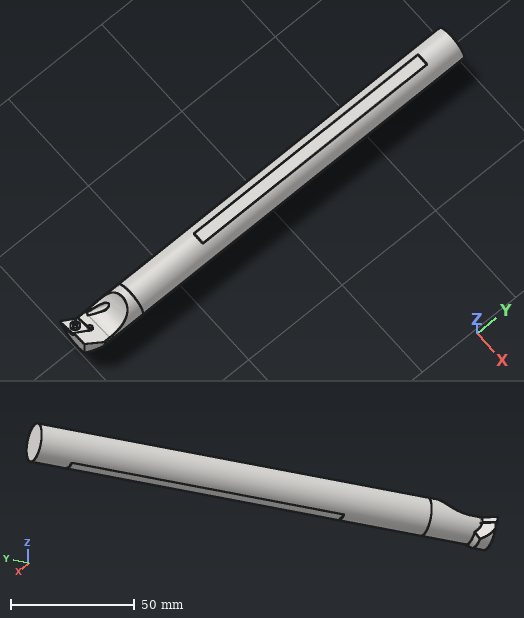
import cadquery as cq
import math

bar_length = 200.0
bar_diameter = 16.0
bar_radius = bar_diameter / 2
joint_y = 28.0
flat_start_y = 64.5
flat_length = 120.0
flat_width = 5.5
flat_height = math.sqrt(bar_radius**2 - (flat_width / 2) ** 2)

nose_front_y = 0.8
nose_back_y = 6.0
nose_blend_y = 8.0
nose_radius = 9.2
nose_x = -2.0
nose_z = -0.8
flank_inset = 0.2
corner_bevel_x = 3.0
corner_bevel_y = 8.0
bevel_side_x = 8.2

tip_x = -11.5
rake_angle = 6.0
scoop_start_y = 10.5
scoop_radius = 17.5
clear_size = 40.0
front_margin = 2.0

coolant_diameter = 3.0
coolant_exit = (-6.5, 10.5, 1.8)
coolant_direction = (0.38, 1.0, 0.0)
coolant_length = 18.0

insert_angle = 55.0
insert_lead_angle = 3.0
insert_circle = 6.5
insert_thickness = 2.5
insert_corner_radius = 0.5
insert_clearance = 7.0
insert_hole_diameter = 2.8
relief_diameter = 2.5
relief_x = -1.0
relief_y = 7.2

screw_head_diameter = 4.0
screw_stem_diameter = 2.5
screw_length = 7.0
screw_cone_depth = 1.2
socket_size = 2.0
socket_depth = 1.0

half_angle = math.radians(insert_angle / 2)
insert_side = insert_circle / math.sin(math.radians(insert_angle))
half_long = insert_side * math.cos(half_angle)
half_short = insert_side * math.sin(half_angle)
axis_angle = insert_lead_angle + insert_angle / 2
center_distance = half_long - insert_corner_radius / math.sin(half_angle)
insert_x = tip_x + insert_corner_radius + center_distance * math.cos(math.radians(axis_angle))
insert_y = insert_corner_radius + center_distance * math.sin(math.radians(axis_angle))


def tilt(shape):
    """Lean a shape about the Y line through the tip, so that +X rises."""
    return shape.rotate((tip_x, 0, 0), (tip_x, 1, 0), -rake_angle)


def bar(start_y, end_y):
    section = cq.Workplane("XZ", origin=(0, end_y, 0)).circle(bar_radius)
    return section.extrude(end_y - start_y)


def make_shank():
    shank = bar(joint_y, bar_length)
    for side in (1, -1):
        block = cq.Workplane("XY").box(bar_diameter, flat_length, bar_radius)
        middle_y = flat_start_y + flat_length / 2
        middle_z = side * (flat_height + bar_radius / 2)
        shank = shank.cut(block.translate((0, middle_y, middle_z)))
    return shank


def insert_blank():
    """Rhombus with its top face at z = 0, narrowing downwards, before tilting."""
    rhombus = (
        cq.Sketch()
        .polygon([(-half_long, 0), (0, -half_short), (half_long, 0), (0, half_short), (-half_long, 0)])
        .vertices()
        .fillet(insert_corner_radius)
    )
    blank = cq.Workplane("XY").placeSketch(rhombus).extrude(-insert_thickness, taper=insert_clearance)
    return blank.rotate((0, 0, 0), (0, 0, 1), axis_angle).translate((insert_x, insert_y, 0))


def screw_blank():
    """Screw without its socket, head flush with z = 0, before tilting."""
    profile = [
        (0, 0),
        (screw_head_diameter / 2, 0),
        (screw_stem_diameter / 2, -screw_cone_depth),
        (screw_stem_diameter / 2, -screw_length),
        (0, -screw_length),
    ]
    blank = cq.Workplane("XZ").polyline(profile).close().revolve(360, (0, 0), (0, 1))
    return blank.translate((insert_x, insert_y, 0))


def make_screw():
    socket = cq.Workplane("XY", origin=(insert_x, insert_y, 0)).polygon(6, socket_size).extrude(-socket_depth)
    return tilt(screw_blank().cut(socket))


def make_insert():
    hole = cq.Workplane("XY", origin=(insert_x, insert_y, 0)).circle(insert_hole_diameter / 2)
    blank = insert_blank().cut(hole.extrude(-insert_thickness))
    return tilt(blank.cut(screw_blank()))


def nose():
    """Offset cylinder at the front, blending back into the bar."""
    front = cq.Workplane("XZ", origin=(nose_x, nose_back_y, nose_z)).circle(nose_radius)
    front = front.extrude(nose_back_y - nose_front_y)
    blend = (
        cq.Workplane("XZ", origin=(0, nose_blend_y, 0))
        .circle(bar_radius)
        .workplane(offset=nose_blend_y - nose_back_y)
        .center(nose_x, nose_z)
        .circle(nose_radius)
        .loft()
    )
    return front.union(blend)


def chip_space():
    """Everything above the rake face, with the round scoop behind it."""
    scoop_end_y = scoop_start_y + scoop_radius
    profile = (
        cq.Workplane("YZ", origin=(-clear_size / 2, 0, 0))
        .moveTo(-front_margin, 0)
        .lineTo(scoop_start_y, 0)
        .radiusArc((scoop_end_y, scoop_radius), -scoop_radius)
        .lineTo(-front_margin, scoop_radius)
        .close()
    )
    return tilt(profile.extrude(clear_size))


def flank_space():
    """Clearance just inside the side edge of the insert, leaning in by the clearance angle."""
    edge_angle = insert_lead_angle + insert_angle
    block = cq.Workplane("XY").box(clear_size, clear_size, clear_size)
    block = block.translate((0, clear_size / 2, 0))
    block = block.rotate((0, 0, 0), (1, 0, 0), -insert_clearance)
    block = block.rotate((0, 0, 0), (0, 0, 1), edge_angle)
    normal = math.radians(edge_angle + 90)
    offset = insert_circle / 2 - flank_inset
    return block.translate((insert_x + offset * math.cos(normal), insert_y + offset * math.sin(normal), 0))


def corner_bevel():
    return (
        cq.Workplane("XY", origin=(0, 0, -clear_size / 2))
        .polyline([
            (corner_bevel_x, nose_front_y),
            (bevel_side_x, corner_bevel_y),
            (clear_size, corner_bevel_y),
            (clear_size, nose_front_y),
        ])
        .close()
        .extrude(clear_size)
    )


def make_head():
    head = bar(nose_front_y, joint_y).union(nose().cut(flank_space()))
    head = head.cut(chip_space()).cut(corner_bevel())
    relief = cq.Workplane("XY", origin=(relief_x, relief_y, 0)).circle(relief_diameter / 2)
    head = head.cut(tilt(relief.extrude(-insert_thickness)))
    head = head.cut(tilt(insert_blank())).cut(tilt(screw_blank()))
    coolant = cq.Solid.makeCylinder(
        coolant_diameter / 2, coolant_length, cq.Vector(*coolant_exit), cq.Vector(*coolant_direction)
    )
    return head.cut(cq.Workplane(coolant))


shank = make_shank()
head = make_head()
insert = make_insert()
screw = make_screw()

result = cq.Compound.makeCompound([shank.val(), head.val(), insert.val(), screw.val()])